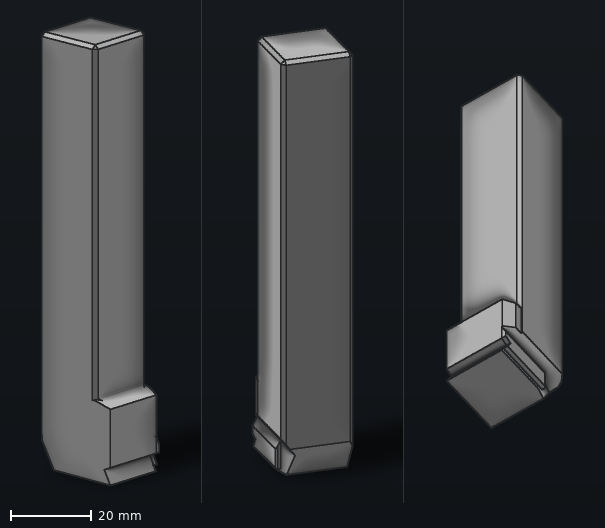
import cadquery as cq

length = 113.5
width = 19.1
chamfer = 1.0

head_reach = 24.1
shoulder_root_z = 21.1
shoulder_tip_z = 19.9
shoulder_fillet = 0.9
clearance_height = 9.1
clearance_width = 5.0
bottom_z = 0.2
notch_top_z = 4.7
notch_x = 22.0
notch_z = 3.7
head_back_y = 18.7
bevel_start_x = 20.4
bevel_end_y = 17.3

floor_y = 17.0
ramp_top_z = 11.7
ramp_low_y = 15.2
ramp_low_z = 6.7
relief_end_x = 8.6
relief_slope = 0.25

insert_left_x = 6.8
insert_bottom_z = 1.4
insert_shoulder_z = 6.7
insert_face_y = 18.3
insert_chamfer = 0.5

margin = 1.1


def head_outline():
    """Outline of the lower block in X and Z, up to the head shoulder."""
    return [
        (clearance_width, bottom_z),
        (head_reach, 0),
        (notch_x, notch_z),
        (head_reach, notch_top_z),
        (head_reach, shoulder_tip_z),
        (width, shoulder_root_z),
        (width - chamfer, shoulder_root_z),
        (0, shoulder_root_z),
        (0, clearance_height),
    ]


def make_blank():
    """Head joined to the chamfered shank."""
    head = cq.Workplane("XZ").polyline(head_outline()).close().extrude(-width)
    shank = (
        cq.Workplane("XY")
        .box(width, width, length, centered=False)
        .edges("|Z or >Z")
        .chamfer(chamfer)
    )
    clearance = (
        cq.Workplane("XZ", origin=(0, -margin, 0))
        .polyline([(0, clearance_height), (clearance_width, bottom_z), (head_reach, 0),
                   (head_reach, -margin), (-margin, -margin), (-margin, clearance_height)])
        .close()
        .extrude(-width - 2 * margin)
    )
    corner_trim = (
        cq.Workplane("XY")
        .polyline([(chamfer, 0), (head_reach, 0), (head_reach, width), (chamfer, width),
                   (0, width - chamfer), (0, chamfer)])
        .close()
        .extrude(shoulder_root_z)
    )
    return head.intersect(corner_trim).union(shank.cut(clearance).cut(make_notch()))


def make_notch():
    """Vee notch, kept clear of the square shank."""
    return (
        cq.Workplane("XZ", origin=(0, -margin, 0))
        .polyline([(head_reach, 0), (notch_x, notch_z), (head_reach, notch_top_z)])
        .close()
        .extrude(-width - 2 * margin)
    )


def make_head_bevel():
    """Material removed from the +Y side of the projecting head."""
    return (
        cq.Workplane("XY")
        .polyline([(width - chamfer, head_back_y), (bevel_start_x, head_back_y),
                   (head_reach, bevel_end_y), (head_reach, width + margin),
                   (width - chamfer, width + margin)])
        .close()
        .extrude(shoulder_root_z)
    )


def make_pocket():
    """Flat-floored pocket with an angled -X relief, both under a sloped wall."""
    relief_start_y = floor_y - relief_slope * (relief_end_x + margin)
    plan = (
        cq.Workplane("XY", origin=(0, 0, -margin))
        .polyline([(-margin, relief_start_y), (relief_end_x, floor_y),
                   (head_reach + margin, floor_y), (head_reach + margin, width),
                   (-margin, width)])
        .close()
        .extrude(ramp_top_z + margin)
    )
    below_ramp = (
        cq.Workplane("YZ", origin=(-margin, 0, 0))
        .polyline([(0, -margin), (width, -margin), (width, ramp_top_z),
                   (ramp_low_y, ramp_low_z), (0, ramp_low_z)])
        .close()
        .extrude(head_reach + 2 * margin)
    )
    return plan.intersect(below_ramp)


def make_holder():
    fillet_edge = cq.selectors.NearestToPointSelector((width, width / 2, shoulder_root_z))
    blank = make_blank().edges(fillet_edge).fillet(shoulder_fillet)
    return blank.cut(make_head_bevel()).cut(make_pocket())


def make_insert():
    """Plate on the pocket floor, following the notched side of the head."""
    ramp_slope = (ramp_top_z - ramp_low_z) / (width - ramp_low_y)
    top_z = ramp_low_z + ramp_slope * (floor_y - ramp_low_y)
    plate = (
        cq.Workplane("YZ", origin=(insert_left_x, 0, 0))
        .polyline([(floor_y, insert_bottom_z), (insert_face_y, insert_bottom_z),
                   (insert_face_y, insert_shoulder_z), (floor_y, top_z)])
        .close()
        .extrude(head_reach - insert_left_x)
    )
    plate = plate.faces("<X").edges(">Y").chamfer(insert_chamfer)
    return plate.cut(make_notch())


holder = make_holder()
insert = make_insert()

result = cq.Compound.makeCompound([holder.val(), insert.val()])